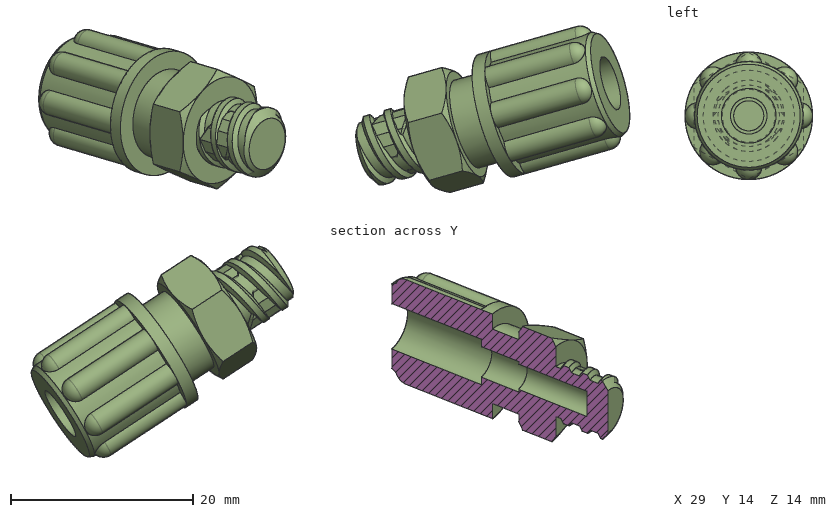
import cadquery as cq
import math

total_length = 29.0
rib_end = 12.0
cap_end = 13.5
neck_end = 17.0
hex_end = 22.0

cap_diameter = 14.0
grip_diameter = 11.9
grip_chamfer_length = 0.5
grip_chamfer_depth = 0.3
rib_count = 8
rib_radius = 1.45
rib_start = grip_chamfer_length
rib_center_radius = cap_diameter / 2 - rib_radius

neck_diameter = 10.0
hex_flats = 12.0
hex_sides = 6
hex_corner_diameter = hex_flats / math.cos(math.pi / hex_sides)
hex_chamfer_angle = math.radians(30)

core_radius = 3.35
crest_radius = 3.92
thread_starts = 2
thread_lead = 5.0
thread_turns = 2
thread_pitch = thread_lead / thread_starts
crest_width = 0.75
flank_run = 0.35
top_crest_x = 25.87
overlap = 0.17
tip_chamfer_length = 0.35
tip_chamfer_depth = 0.45

web_crest_width = 4.18
web_end_width = crest_width
web_radius = 3.9
web_end_radius = 3.25
web_facets = 8

bore_steps = [(6.0, 12.0), (4.0, 17.0), (3.3, 26.1)]


def disc(diameter, start, end):
    return cq.Workplane("YZ").workplane(offset=start).circle(diameter / 2).extrude(end - start)


def turned(points):
    """Revolve an (x, radius) outline about the X axis."""
    return cq.Workplane("XY").polyline(points).close().revolve(360, (0, 0, 0), (1, 0, 0))


def make_cap():
    grip_radius = grip_diameter / 2
    cap = turned([
        (0, 0),
        (0, grip_radius - grip_chamfer_depth),
        (grip_chamfer_length, grip_radius),
        (rib_end, grip_radius),
        (rib_end, 0),
    ])
    dome_x = rib_start + rib_radius
    rod = cq.Workplane("YZ").workplane(offset=dome_x).circle(rib_radius).extrude(rib_end - dome_x)
    dome = cq.Workplane("XY").sphere(rib_radius).translate((dome_x, 0, 0))
    rib = rod.union(dome).translate((0, 0, rib_center_radius))
    for i in range(rib_count):
        cap = cap.union(rib.rotate((0, 0, 0), (1, 0, 0), i * 360 / rib_count))
    return cap.union(disc(cap_diameter, rib_end, cap_end))


def make_hex():
    body = (
        cq.Workplane("YZ").workplane(offset=neck_end)
        .polygon(hex_sides, hex_corner_diameter).extrude(hex_end - neck_end)
        .rotate((0, 0, 0), (1, 0, 0), 90)
    )
    flat_radius = hex_flats / 2
    corner_radius = hex_corner_diameter / 2
    chamfer_length = (corner_radius - flat_radius) * math.tan(hex_chamfer_angle)
    envelope = turned([
        (neck_end, 0),
        (neck_end, flat_radius),
        (neck_end + chamfer_length, corner_radius),
        (hex_end - chamfer_length, corner_radius),
        (hex_end, flat_radius),
        (hex_end, 0),
    ])
    return body.intersect(envelope)


def make_thread_start():
    """One helical ridge, built upright along Z and then laid along X."""
    root_radius = core_radius - overlap
    crest_half = crest_width / 2
    root_half = crest_half + flank_run * (crest_radius - root_radius) / (crest_radius - core_radius)
    path = cq.Wire.makeHelix(thread_lead, thread_turns * thread_lead, core_radius)
    ridge = (
        cq.Workplane("XZ")
        .polyline([
            (root_radius, -root_half),
            (crest_radius, -crest_half),
            (crest_radius, crest_half),
            (root_radius, root_half),
        ])
        .close()
        .sweep(cq.Workplane(path), isFrenet=True)
    )
    ridge = ridge.rotate((0, 0, 0), (0, 1, 0), 90).rotate((0, 0, 0), (1, 0, 0), 180)
    return ridge.translate((top_crest_x - thread_lead, 0, 0))


def make_web():
    """Faceted ridge from one +Z crest to the next -Z crest, widest and highest midway on the -Y side."""
    root_radius = core_radius - overlap
    wires = []
    for i in range(web_facets + 1):
        part = i / web_facets
        angle = part * math.pi
        center = top_crest_x - part * thread_pitch
        widening = 1 - abs(2 * part - 1)
        crest_half = (web_end_width + widening * (web_crest_width - web_end_width)) / 2
        root_half = crest_half + flank_run
        top_radius = web_end_radius + widening * (web_radius - web_end_radius)
        section = [
            (-root_half, root_radius),
            (-crest_half, top_radius),
            (crest_half, top_radius),
            (root_half, root_radius),
        ]
        corners = [
            cq.Vector(center + x, -r * math.sin(angle), r * math.cos(angle))
            for x, r in section
        ]
        wires.append(cq.Wire.makePolygon(corners, close=True))
    return cq.Workplane(cq.Solid.makeLoft(wires, True))


def make_threaded_end():
    core = disc(2 * core_radius, hex_end, total_length + thread_lead)
    thread = make_thread_start()
    web = make_web()
    for i in range(thread_starts):
        turn = i * 360 / thread_starts
        for ridge in (thread, web):
            core = core.union(ridge.rotate((0, 0, 0), (1, 0, 0), turn))
    slope = tip_chamfer_length / tip_chamfer_depth
    tip_radius = core_radius - tip_chamfer_depth
    envelope = turned([
        (hex_end, 0),
        (hex_end, crest_radius + overlap),
        (total_length - (crest_radius + overlap - tip_radius) * slope, crest_radius + overlap),
        (total_length, tip_radius),
        (total_length, 0),
    ])
    return core.intersect(envelope)


body = make_cap().union(disc(neck_diameter, cap_end, neck_end))
body = body.union(make_hex()).union(make_threaded_end())
for bore_diameter, bore_depth in bore_steps:
    body = body.cut(disc(bore_diameter, 0, bore_depth))
result = body